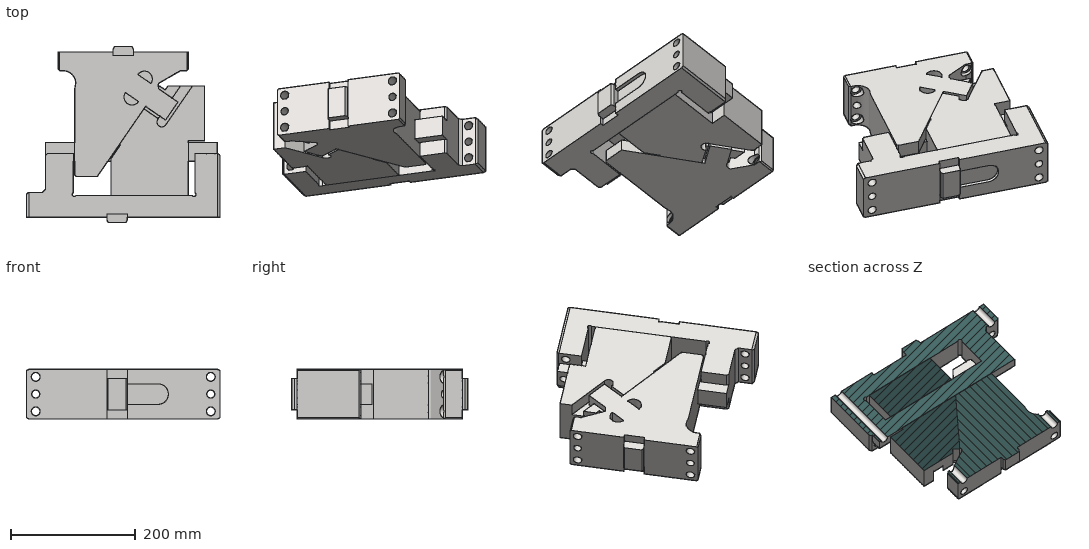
import cadquery as cq
import math

WIDTH = 310.0
THICKNESS = 80.0
HALF = THICKNESS / 2
CORNER_CHAMFER = 3.0

BASE_FLOOR_Y = 35.0
ARM_TOP_Y = 102.0
LEFT_ARM_X = (30.5, 75.0)
RIGHT_ARM_INNER_X = 269.7
FOOT_TOP_Y = 40.0
FOOT_CORNER_LEG = 5.0
BASE_END_CHAMFER_X = 3.7
BASE_END_CHAMFER_Z = 2.2
RELIEF_RADIUS = 3.0
RELIEF_INSET = 1.5
BASE_HOLE_EDGE = 15.0

BAR_HALF = 16.5
BAR_Y = (89.5, 120.0)
BAR_END_X = 305.7

KEY_WIDTH = 33.0
KEY_HALF_HEIGHT = 25.0
KEY_SLOT_DEPTH = 5.5
KEY_PROJECTION = 8.7
KEY_CHAMFER_X = 2.2
KEY_CHAMFER_Y = 4.3
BASE_KEY_X = 145.0
POCKET_END_X = 227.2

BOLT_RADIUS = 6.8
PIN_RADIUS = 6.2
BOLT_Z = 27.5
COUNTERBORE_RADIUS = 10.0
COUNTERBORE_FLOOR = 6.2

HOLDER_X = (50.8, 259.2)
HOLDER_TOP_Y = 264.7
FLANGE_Y = 234.5
STEM_X = 77.2
TIP_X, TIP_Y = 113.5, 65.0
STEM_CORNER_CHAMFER = 2.5
HOLDER_END_CHAMFER = 2.2
NECK_RADIUS = 19.8
NECK_CENTER = (59.0, FLANGE_Y - NECK_RADIUS)
NECK_TAPER_END_Y = 205.5
NOTCH_START_X = 246.5
NOTCH_FLAT_END = (211.0, 211.5)
NOTCH_ROUND_MIDDLE = (211.7, 214.0)
NOTCH_ROUND_END = (213.5, 215.5)
HOLDER_HOLE_EDGE = 12.5

INCLINE = math.radians(55.5)
PRONG_ALONG = (136.5, 171.5)
PRONG_OUT = 38.8
PRONG_CLEARANCE = 4.5
NOTCH_SIDE_OUT = 1.5
TEE_FLANGE_OUT = 27.5
TEE_FLANGE_HALF = 29.0
TEE_WEB_HALF = 17.7
TEE_NOTCH_OUT = 11.0
TEE_ROOT_ALONG = 117.8
UNDERCUT_RADIUS = 7.8
UNDERCUT_ALONG = 130.5
POCKET_RADIUS = 12.7
POCKET_INSET = 26.5

SLIDER_LEFT_X = 135.2
SLIDER_RIGHT_X = 259.2
SLIDER_HEAD_X = 285.2
SLIDER_HEAD_Y = (122.0, 210.2)
FACE_RELIEF_ALONG = 62.3
FACE_RELIEF = 2.0

WALL_OUT = PRONG_OUT + PRONG_CLEARANCE
STEP_ALONG = PRONG_ALONG[0] - PRONG_CLEARANCE
TEE_END_ALONG = PRONG_ALONG[1] + PRONG_CLEARANCE


def incline_point(along, out):
    """Point at a distance along the incline and outwards from its face."""
    x = TIP_X + along * math.cos(INCLINE) + out * math.sin(INCLINE)
    y = TIP_Y + along * math.sin(INCLINE) - out * math.cos(INCLINE)
    return x, y


def incline_point_at_x(x, out):
    return incline_point((x - TIP_X - out * math.sin(INCLINE)) / math.cos(INCLINE), out)


def incline_point_at_y(y, out):
    return incline_point((y - TIP_Y + out * math.cos(INCLINE)) / math.sin(INCLINE), out)


def extrude_centred(sketch, half_height):
    return sketch.close().extrude(half_height, both=True)


def plate(points, half_height):
    return extrude_centred(cq.Workplane("XY").polyline(points), half_height)


def block(x_range, y_range, half_height):
    size = (x_range[1] - x_range[0], y_range[1] - y_range[0], 2 * half_height)
    return cq.Workplane("XY").box(*size, centered=(False, False, True)).translate((x_range[0], y_range[0], 0))


def disc(center, radius, half_height):
    return cq.Workplane("XY").center(*center).circle(radius).extrude(half_height, both=True)


def y_cylinder(x, z, radius, y_range):
    start = cq.Vector(x, y_range[0], z)
    return cq.Workplane(cq.Solid.makeCylinder(radius, y_range[1] - y_range[0], start, cq.Vector(0, 1, 0)))


def end_chamfered_bar(x_range, y_range, leg_x, leg_z):
    """Bar along X whose long end edges (parallel to Y) are chamfered."""
    x0, x1 = x_range
    low = HALF - leg_z
    points = [
        (x0, -low), (x0 + leg_x, -HALF), (x1 - leg_x, -HALF), (x1, -low),
        (x1, low), (x1 - leg_x, HALF), (x0 + leg_x, HALF), (x0, low),
    ]
    profile = cq.Workplane("XZ").polyline(points).close().extrude(y_range[0] - y_range[1])
    return profile.translate((0, y_range[0], 0))


def add_key(body, x, face_y, outward):
    """Cut a full-height key slot into a Y face and fill it with a shorter projecting key."""
    left, right = x - KEY_WIDTH / 2, x + KEY_WIDTH / 2
    slot_y = face_y - outward * KEY_SLOT_DEPTH
    tip_y = face_y + outward * KEY_PROJECTION
    shoulder_y = tip_y - outward * KEY_CHAMFER_Y
    slot = block((left, right), sorted((slot_y, face_y)), HALF)
    key = plate([
        (left, slot_y), (left, shoulder_y), (left + KEY_CHAMFER_X, tip_y),
        (right - KEY_CHAMFER_X, tip_y), (right, shoulder_y), (right, slot_y),
    ], KEY_HALF_HEIGHT)
    return body.cut(slot).union(key)


def drill_row(body, x, y_range):
    body = body.cut(y_cylinder(x, 0, PIN_RADIUS, y_range))
    for z in (-BOLT_Z, BOLT_Z):
        body = body.cut(y_cylinder(x, z, BOLT_RADIUS, y_range))
    return body


def base_key_pocket():
    """Shallow round-ended pocket running from the base key slot."""
    length = POCKET_END_X - BAR_HALF - BASE_KEY_X
    straight = block((BASE_KEY_X + KEY_WIDTH / 2, BASE_KEY_X + length), (0, KEY_SLOT_DEPTH), BAR_HALF)
    return straight.union(y_cylinder(BASE_KEY_X + length, 0, BAR_HALF, (0, KEY_SLOT_DEPTH)))


def make_base():
    c = CORNER_CHAMFER
    arm_outer, arm_inner = LEFT_ARM_X
    body = plate([
        (0, 0), (WIDTH, 0), (WIDTH, ARM_TOP_Y - c), (WIDTH - c, ARM_TOP_Y),
        (RIGHT_ARM_INNER_X, ARM_TOP_Y), (RIGHT_ARM_INNER_X, BASE_FLOOR_Y),
        (arm_inner, BASE_FLOOR_Y), (arm_inner, ARM_TOP_Y),
        (arm_outer + c, ARM_TOP_Y), (arm_outer, ARM_TOP_Y - c),
        (arm_outer, FOOT_TOP_Y + FOOT_CORNER_LEG), (arm_outer - FOOT_CORNER_LEG, FOOT_TOP_Y),
        (c, FOOT_TOP_Y), (0, FOOT_TOP_Y - c),
    ], HALF)
    for x in (arm_inner + RELIEF_INSET, RIGHT_ARM_INNER_X - RELIEF_INSET):
        body = body.cut(disc((x, BASE_FLOOR_Y + RELIEF_INSET), RELIEF_RADIUS, HALF))
    body = body.intersect(
        end_chamfered_bar((0, WIDTH), (0, ARM_TOP_Y), BASE_END_CHAMFER_X, BASE_END_CHAMFER_Z)
    )
    body = body.union(block((arm_outer, BAR_END_X), BAR_Y, BAR_HALF))
    for x in (BASE_HOLE_EDGE, WIDTH - BASE_HOLE_EDGE):
        body = drill_row(body, x, (0, BAR_Y[1]))
    return add_key(body.cut(base_key_pocket()), BASE_KEY_X, 0, -1)


def holder_plate():
    c = CORNER_CHAMFER
    left, right = HOLDER_X
    prong_low, prong_high = PRONG_ALONG
    neck_x, neck_y = NECK_CENTER
    diagonal = NECK_RADIUS * math.sqrt(0.5)
    outline = (
        cq.Workplane("XY")
        .moveTo(STEM_X + STEM_CORNER_CHAMFER, TIP_Y)
        .lineTo(TIP_X, TIP_Y)
        .lineTo(*incline_point(prong_low, 0))
        .lineTo(*incline_point(prong_low, PRONG_OUT))
        .lineTo(*incline_point(prong_high, PRONG_OUT))
        .lineTo(*incline_point(prong_high, NOTCH_SIDE_OUT))
        .lineTo(*NOTCH_FLAT_END)
        .threePointArc(NOTCH_ROUND_MIDDLE, NOTCH_ROUND_END)
        .lineTo(NOTCH_START_X, FLANGE_Y)
        .lineTo(right - c, FLANGE_Y)
        .lineTo(right, FLANGE_Y + c)
        .lineTo(right, HOLDER_TOP_Y)
        .lineTo(left, HOLDER_TOP_Y)
        .lineTo(left, FLANGE_Y + c)
        .lineTo(left + c, FLANGE_Y)
        .lineTo(neck_x, FLANGE_Y)
        .threePointArc((neck_x + diagonal, neck_y + diagonal), (neck_x + NECK_RADIUS, neck_y))
        .lineTo(STEM_X, NECK_TAPER_END_Y)
        .lineTo(STEM_X, TIP_Y + STEM_CORNER_CHAMFER)
    )
    return extrude_centred(outline, HALF)


def tee_slot():
    """T-slot between the holder prongs, open at both ends."""
    def layer(out, half_height):
        return plate([
            incline_point(STEP_ALONG, 0), incline_point(STEP_ALONG, out),
            incline_point(TEE_END_ALONG, out), incline_point(TEE_END_ALONG, 0),
        ], half_height)

    return layer(TEE_FLANGE_OUT, TEE_FLANGE_HALF).union(layer(WALL_OUT, TEE_WEB_HALF))


def half_round_pocket(along, direction):
    """Half-disc pocket whose straight side is level with an edge of the prongs."""
    outline = (
        cq.Workplane("XY", origin=(0, 0, TEE_WEB_HALF))
        .moveTo(*incline_point(along, -POCKET_INSET - POCKET_RADIUS))
        .threePointArc(
            incline_point(along + direction * POCKET_RADIUS, -POCKET_INSET),
            incline_point(along, -POCKET_INSET + POCKET_RADIUS),
        )
    )
    return outline.close().extrude(HALF - TEE_WEB_HALF)


def make_holder():
    left, right = HOLDER_X
    ends = end_chamfered_bar(HOLDER_X, (TIP_Y, HOLDER_TOP_Y), HOLDER_END_CHAMFER, HOLDER_END_CHAMFER)
    body = holder_plate().intersect(ends).cut(tee_slot())
    body = body.cut(block(HOLDER_X, (TIP_Y, BAR_Y[1]), BAR_HALF))
    for along, direction in zip(PRONG_ALONG, (-1, 1)):
        body = body.cut(half_round_pocket(along, direction))
    for x in (left + HOLDER_HOLE_EDGE, right - HOLDER_HOLE_EDGE):
        body = drill_row(body, x, (NECK_CENTER[1], HOLDER_TOP_Y))
        for z in (-BOLT_Z, BOLT_Z):
            counterbore_y = (NECK_CENTER[1], FLANGE_Y + COUNTERBORE_FLOOR)
            body = body.cut(y_cylinder(x, z, COUNTERBORE_RADIUS, counterbore_y))
    return add_key(body, (left + right) / 2, HOLDER_TOP_Y, 1)


def tee_layer(out, half_height):
    """One layer of the slider's T, reaching outwards from the inclined face."""
    top_y = SLIDER_HEAD_Y[1]
    return plate([
        incline_point(TEE_ROOT_ALONG, 0), incline_point(TEE_END_ALONG, 0),
        incline_point(TEE_END_ALONG, TEE_NOTCH_OUT), incline_point_at_y(top_y, TEE_NOTCH_OUT),
        incline_point_at_y(top_y, out), incline_point(TEE_ROOT_ALONG, out),
    ], half_height)


def make_slider():
    head_low, head_top = SLIDER_HEAD_Y
    body = plate([
        (SLIDER_LEFT_X, BASE_FLOOR_Y), incline_point_at_x(SLIDER_LEFT_X, FACE_RELIEF),
        incline_point(FACE_RELIEF_ALONG, FACE_RELIEF), incline_point(FACE_RELIEF_ALONG, 0),
        incline_point(STEP_ALONG, 0), incline_point(STEP_ALONG, WALL_OUT),
        incline_point_at_y(head_top, WALL_OUT), (SLIDER_HEAD_X, head_top),
        (SLIDER_HEAD_X, head_low), (SLIDER_RIGHT_X, head_low), (SLIDER_RIGHT_X, BASE_FLOOR_Y),
    ], HALF)
    undercut = disc(incline_point(UNDERCUT_ALONG, WALL_OUT - UNDERCUT_RADIUS), UNDERCUT_RADIUS, HALF)
    body = body.cut(undercut)
    body = body.union(tee_layer(WALL_OUT, TEE_WEB_HALF)).union(tee_layer(TEE_FLANGE_OUT, TEE_FLANGE_HALF))
    return body.cut(block((TIP_X, SLIDER_RIGHT_X), BAR_Y, BAR_HALF))


base = make_base()
holder = make_holder()
slider = make_slider()

result = cq.Compound.makeCompound([body.solids().val() for body in (base, holder, slider)])